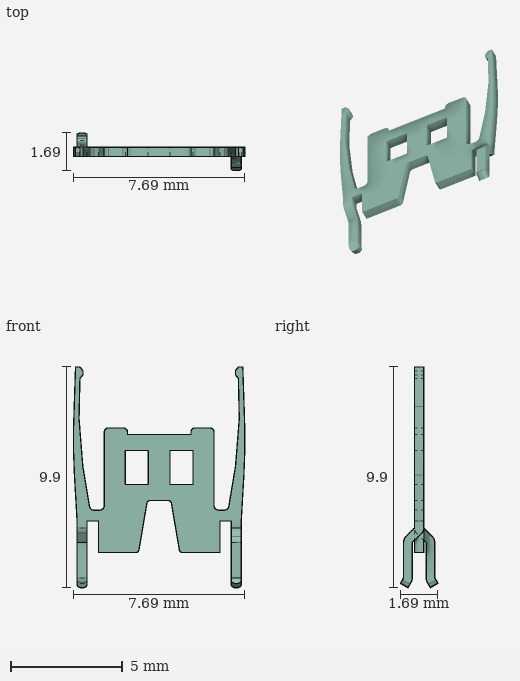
import cadquery as cq
import math

height = 9.9
half_width = 3.846
sheet = 0.43

body_half = 2.47
shoulder_top = 7.17
shoulder_inner = 1.42
bridge_top = 6.87
shoulder_radius = 0.2

gap_bottom = 3.48
gap_outer = 3.09
gap_radius = 0.2

window_inner = 0.495
window_outer = 1.51
window_bottom = 4.63
window_top = 6.15

tab_outer = 2.727
tab_bottom = 1.57
tab_root = 2.99
notch_top = 3.91
notch_half_top = 0.52
notch_half_bottom = 0.92
notch_radius = 0.15

arm_bow_low = (3.8, 5.05)
arm_bow_middle = 6.73
arm_bow_high = (3.81, 8.12)
arm_inner_kink_low = (3.42, 5.445)
arm_inner_kink_high = (3.58, 7.57)
arm_tip_outer = 3.75
arm_tip_inner = 3.55
hook_reach = 3.411
hook_upper = 9.72
hook_lower = 9.54
hook_root = (3.54, 9.38)

leg_inner = 3.23
leg_outer = 3.68
leg_thickness = 0.4
leg_face = 0.7
knee_radius = 0.4
hip_radius = 0.32
leg_bend_top = 2.68
toe_angle = math.radians(30)
toe_length = 0.29
toe_corner_radius = 0.18


def plate_half():
    """Half of the flat sheet on the +X side, without windows."""
    upper_outline = [
        (0, bridge_top),
        (shoulder_inner, bridge_top),
        (shoulder_inner, shoulder_top),
        (body_half, shoulder_top),
        (body_half, gap_bottom),
        (gap_outer, gap_bottom),
        arm_inner_kink_low,
        arm_inner_kink_high,
        hook_root,
        (hook_reach, hook_lower),
        (hook_reach, hook_upper),
        (arm_tip_inner, height),
        (arm_tip_outer, height),
        arm_bow_high,
    ]
    lower_outline = [
        (leg_outer, tab_root),
        (leg_outer, leg_bend_top),
        (leg_inner, leg_bend_top),
        (leg_inner, tab_root),
        (tab_outer, tab_root),
        (tab_outer, tab_bottom),
        (notch_half_bottom, tab_bottom),
        (notch_half_top, notch_top),
        (0, notch_top),
    ]
    plate = (
        cq.Workplane("XZ")
        .polyline(upper_outline)
        .threePointArc((half_width, arm_bow_middle), arm_bow_low)
        .polyline(lower_outline, includeCurrent=True)
        .close()
        .extrude(sheet / 2, both=True)
    )
    rounded_corners = [
        (shoulder_inner, shoulder_top, shoulder_radius),
        (body_half, shoulder_top, shoulder_radius),
        (body_half, gap_bottom, gap_radius),
        (gap_outer, gap_bottom, gap_radius),
        (notch_half_bottom, tab_bottom, notch_radius),
        (notch_half_top, notch_top, notch_radius),
    ]
    for x, z, radius in rounded_corners:
        plate = plate.edges(cq.selectors.NearestToPointSelector((x, 0, z))).fillet(radius)
    return plate


def window():
    """Cutter for the window on the +X side."""
    return (
        cq.Workplane("XY")
        .box(window_outer - window_inner, 2 * sheet, window_top - window_bottom, centered=(False, True, False))
        .translate((window_inner, 0, window_bottom))
    )


def leg():
    """Leg on the +X side, stepped toward -Y at 45 degrees and flared out at the toe."""
    sheet_face = sheet / 2
    back_face = leg_face - leg_thickness
    knee = leg_bend_top - (leg_face - sheet_face)
    back_slope_sum = leg_face + knee - leg_thickness * math.sqrt(2)

    toe_bend = toe_length * math.cos(toe_angle) + leg_thickness * math.sin(toe_angle)

    def toe_arc_point(angle):
        return (
            leg_face - leg_thickness * math.cos(angle),
            toe_bend - leg_thickness * math.sin(angle),
        )

    toe_shift_y = toe_length * math.sin(toe_angle)
    toe_shift_z = -toe_length * math.cos(toe_angle)
    arc_end = toe_arc_point(toe_angle)

    side_plane = cq.Plane(origin=(leg_inner, 0, 0), xDir=(0, -1, 0), normal=(-1, 0, 0))
    blank = (
        cq.Workplane(side_plane)
        .moveTo(-sheet_face, leg_bend_top)
        .lineTo(sheet_face, leg_bend_top)
        .lineTo(leg_face, knee)
        .lineTo(leg_face, toe_bend)
        .lineTo(leg_face + toe_shift_y, toe_bend + toe_shift_z)
        .lineTo(arc_end[0] + toe_shift_y, arc_end[1] + toe_shift_z)
        .lineTo(*arc_end)
        .threePointArc(toe_arc_point(toe_angle / 2), toe_arc_point(0))
        .lineTo(back_face, back_slope_sum - back_face)
        .lineTo(-sheet_face, back_slope_sum + sheet_face)
        .close()
        .extrude(leg_inner - leg_outer)
    )
    leg_middle = (leg_inner + leg_outer) / 2
    bend_edges = [
        (leg_face, knee, knee_radius),
        (-sheet_face, back_slope_sum + sheet_face, hip_radius),
    ]
    for out, z, radius in bend_edges:
        edge = cq.selectors.NearestToPointSelector((leg_middle, -out, z))
        blank = blank.edges(edge).fillet(radius)

    toe_out = leg_face + toe_shift_y - leg_thickness / 2 * math.cos(toe_angle)
    toe_z = leg_thickness / 2 * math.sin(toe_angle)
    for x in (leg_inner, leg_outer):
        corner = cq.selectors.NearestToPointSelector((x, -toe_out, toe_z))
        blank = blank.edges(corner).fillet(toe_corner_radius)
    return blank


half = plate_half().cut(window()).union(leg())
result = half.union(half.rotate((0, 0, 0), (0, 0, 1), 180)).clean()